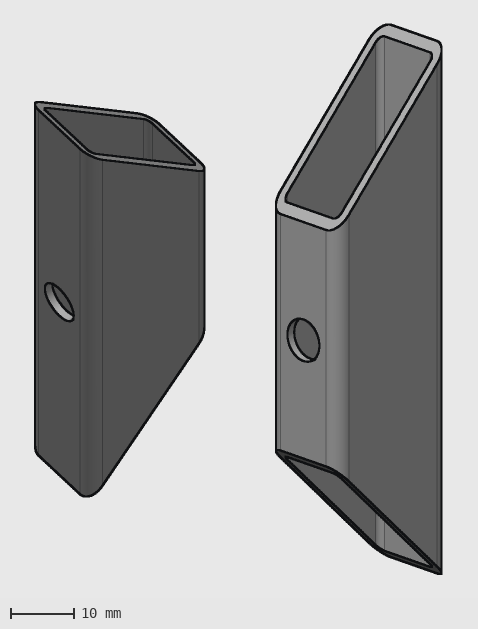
import cadquery as cq

length = 90.0
width = 15.0
depth = 25.0
wall = 1.5
outer_radius = 2.5
inner_radius = outer_radius - wall
hole_diameter = 7.0

short_length = length - 2 * depth


def rounded_bar(size_x, size_y, radius):
    """Full-length bar with rounded long edges, centred on the origin."""
    return cq.Workplane("XY").box(size_x, size_y, length).edges("|Z").fillet(radius)


def mitre_envelope():
    """Trapezoidal prism across X: long face at -Y, short face at +Y."""
    return (
        cq.Workplane("YZ")
        .moveTo(-depth / 2, -length / 2)
        .lineTo(depth / 2, -short_length / 2)
        .lineTo(depth / 2, short_length / 2)
        .lineTo(-depth / 2, length / 2)
        .close()
        .extrude(width / 2, both=True)
    )


def cross_hole():
    """Cylinder along Y that pierces the long and the short wall."""
    return cq.Workplane("XZ").circle(hole_diameter / 2).extrude(depth, both=True)


outside = rounded_bar(width, depth, outer_radius)
bore = rounded_bar(width - 2 * wall, depth - 2 * wall, inner_radius)
tube = outside.cut(bore)

result = tube.intersect(mitre_envelope()).cut(cross_hole())